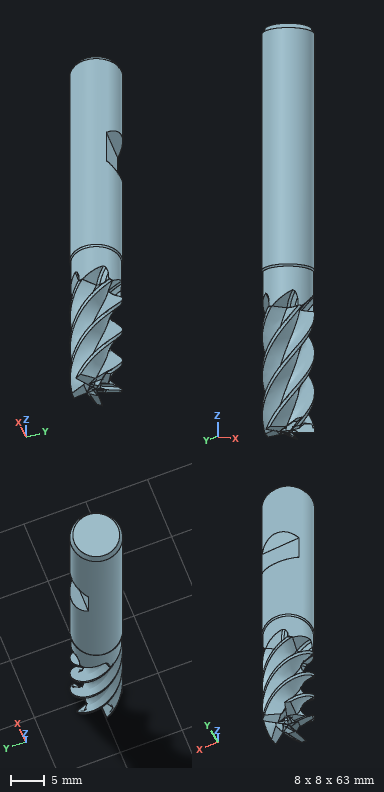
import cadquery as cq
import math

length = 63.0
shank_diameter = 8.0
shank_radius = shank_diameter / 2
neck_radius = 3.85
cutter_length = 19.0
neck_top = 25.0
neck_cone_height = 0.3
end_chamfer_height = 0.8
end_chamfer_angle = 30.0

flat_depth = 1.5
flat_length = 5.55
flat_centre = 45.05

flute_count = 5
lead = 30.55
edge_angle_at_tip = -106.0
tooth_pitch = 360.0 / flute_count
land_angle = 9.0
land_end_radius = 3.9
heel_angle = 43.0
heel_radius = 1.9
floor_angle = 56.0
floor_radius = 2.1
rake_angle = 69.0
rake_radius = 2.9

runout_height = 2.4
runout_lift = 2.0
runout_drift = -12.0
runout_sections = 4

gash_height = 1.7
gash_width = 1.5
gash_floor_width = 0.55
gash_face_angle = 36.0
gash_inner_radius = 0.6

end_relief_angle = 20.0


def polar(radius, angle):
    """Point at a radius and an angle in degrees."""
    turn = math.radians(angle)
    return (radius * math.cos(turn), radius * math.sin(turn))


def helix_turn(height):
    """Angle in degrees that the flutes turn through over a height."""
    return 360.0 * height / lead


def make_shank_blank():
    chamfer_width = end_chamfer_height * math.tan(math.radians(end_chamfer_angle))
    outline = [
        (0, cutter_length),
        (neck_radius, cutter_length),
        (neck_radius, neck_top),
        (shank_radius, neck_top + neck_cone_height),
        (shank_radius, length - end_chamfer_height),
        (shank_radius - chamfer_width, length),
        (0, length),
    ]
    return cq.Workplane("XZ").polyline(outline).close().revolve(360, (0, 0), (0, 1))


def make_flat_cutter():
    """Trapezoidal notch with 45 degree ends, running across the shank."""
    half = flat_length / 2
    floor_y = shank_radius - flat_depth
    outline = [
        (floor_y, flat_centre - half),
        (floor_y, flat_centre + half),
        (shank_radius, flat_centre + half + flat_depth),
        (shank_radius, flat_centre - half - flat_depth),
    ]
    return cq.Workplane("YZ").polyline(outline).close().extrude(shank_radius, both=True)


def make_runout_cutter(edge_angle):
    """Flute shape that follows the helix up the neck while it lifts out of it."""
    sections = []
    for step in range(runout_sections):
        share = step / (runout_sections - 1)
        height = share * runout_height
        turn = edge_angle + helix_turn(height) + share * runout_drift
        lift_x, lift_y = polar(share * runout_lift, turn + heel_angle)
        corners = [
            polar(shank_radius, turn),
            polar(land_end_radius, turn + land_angle),
            polar(heel_radius, turn + heel_angle),
            polar(floor_radius, turn + floor_angle),
            polar(rake_radius, turn + rake_angle),
            polar(shank_radius, turn + tooth_pitch),
            polar(shank_diameter, turn + heel_angle),
        ]
        points = [cq.Vector(x + lift_x, y + lift_y, cutter_length + height) for x, y in corners]
        sections.append(cq.Wire.makePolygon(points, close=True))
    return cq.Workplane(cq.Solid.makeLoft(sections))


def make_shank():
    shank = make_shank_blank().cut(make_flat_cutter())
    first_edge = edge_angle_at_tip + helix_turn(cutter_length)
    for tooth in range(flute_count):
        shank = shank.cut(make_runout_cutter(first_edge + tooth * tooth_pitch))
    return shank


def make_fluted_blank():
    outline = cq.Workplane("XY").moveTo(*polar(shank_radius, edge_angle_at_tip))
    for tooth in range(flute_count):
        edge = edge_angle_at_tip + tooth * tooth_pitch
        outline = (
            outline.lineTo(*polar(land_end_radius, edge + land_angle))
            .lineTo(*polar(heel_radius, edge + heel_angle))
            .threePointArc(
                polar(floor_radius, edge + floor_angle),
                polar(rake_radius, edge + rake_angle),
            )
            .lineTo(*polar(shank_radius, edge + tooth_pitch))
        )
    return outline.close().twistExtrude(cutter_length, helix_turn(cutter_length))


def make_end_relief_cutter(edge_angle):
    """Wedge under one tooth that rises behind its end edge, up to the next tooth's edge."""
    reach = shank_diameter
    rise = reach * math.tan(math.radians(end_relief_angle))
    slope = [(0, 0), (reach, 0), (reach, rise)]
    wedge = cq.Workplane("YZ").polyline(slope).close().extrude(reach)
    sector = [(0, 0), polar(reach, 0), polar(reach, tooth_pitch)]
    wedge = wedge.intersect(cq.Workplane("XY").polyline(sector).close().extrude(rise))
    return wedge.rotate((0, 0, 0), (0, 0, 1), edge_angle)


def make_gash_cutter(edge_angle):
    """Notch with a four-sided section, running outwards in front of a cutting edge."""
    lean = gash_height * math.tan(math.radians(gash_face_angle))
    outline = [(-gash_width, 0), (0, 0), (lean, gash_height), (lean - gash_floor_width, gash_height)]
    gash = cq.Workplane("YZ").polyline(outline).close().extrude(shank_diameter)
    return gash.translate((gash_inner_radius, 0, 0)).rotate((0, 0, 0), (0, 0, 1), edge_angle)


def make_cutter():
    cutter = make_fluted_blank()
    for tooth in range(flute_count):
        edge_angle = edge_angle_at_tip + tooth * tooth_pitch
        cutter = cutter.cut(make_end_relief_cutter(edge_angle))
        cutter = cutter.cut(make_gash_cutter(edge_angle))
    return cutter


shank = make_shank()
cutter = make_cutter()
result = cq.Compound.makeCompound([shank.val(), cutter.val()])